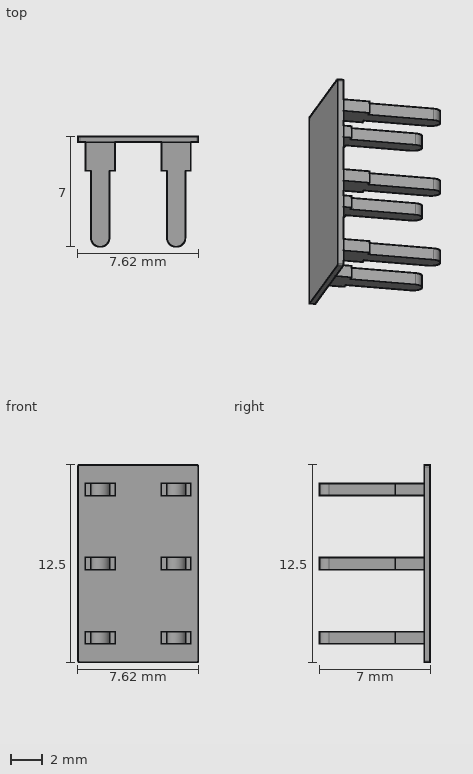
import cadquery as cq

plate_width = 7.62
plate_height = 12.5
plate_thickness = 0.38
corner_radius = 0.12

total_depth = 7.0
pin_thickness = 0.78
shoulder_width = 1.88
shoulder_length = 1.81
blade_width = 1.19
column_pitch = 4.8
row_pitch = 4.69
columns = 2
rows = 3

plate_front = -plate_thickness
shoulder_end = plate_front - shoulder_length
tip_radius = blade_width / 2
tip_start = -total_depth + tip_radius


def make_plate():
    """Thin plate with rounded corners."""
    plate = cq.Workplane("XY").box(
        plate_width, plate_thickness, plate_height, centered=(True, False, True)
    )
    return plate.translate((0, plate_front, 0)).edges("|Y").fillet(corner_radius)


def make_pin():
    """Shouldered flat pin with a round tip, rooted in the plate's back face."""
    half_shoulder = shoulder_width / 2
    return (
        cq.Workplane("XY")
        .moveTo(-half_shoulder, 0)
        .lineTo(-half_shoulder, shoulder_end)
        .lineTo(-tip_radius, shoulder_end)
        .lineTo(-tip_radius, tip_start)
        .threePointArc((0, -total_depth), (tip_radius, tip_start))
        .lineTo(tip_radius, shoulder_end)
        .lineTo(half_shoulder, shoulder_end)
        .lineTo(half_shoulder, 0)
        .close()
        .extrude(pin_thickness / 2, both=True)
    )


result = make_plate()
pin = make_pin()
for column in range(columns):
    for row in range(rows):
        x = (column - (columns - 1) / 2) * column_pitch
        z = (row - (rows - 1) / 2) * row_pitch
        result = result.union(pin.translate((x, 0, z)))